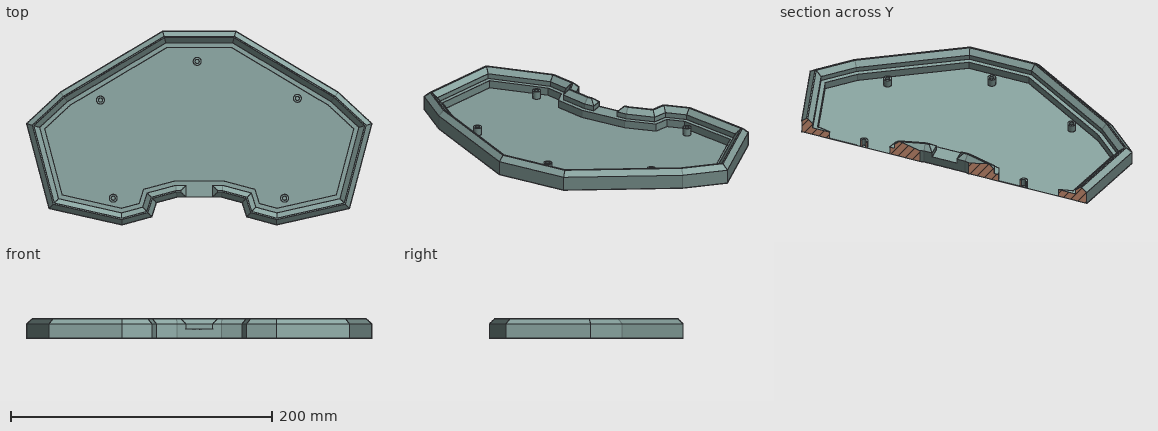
import cadquery as cq

width = 264.5
depth = 148.5
height = 15.0

rim_bevel = 4.0
rim_flat = 1.0
wall_thickness = 2 * rim_bevel + rim_flat
ledge_width = 3.5
floor_thickness = 1.0
ledge_height = 7.1
bevel_start = height - rim_bevel

slot_width = 20.5

post_diameter = 6.0
post_hole_diameter = 3.2
post_centers = [
    (-1.5, 51.0),
    (-75.7, 21.5),
    (75.1, 22.8),
    (-66.0, -53.7),
    (65.4, -53.7),
]

notch_edge_y = -53.0
right_half = [
    (28.0, depth / 2),
    (106.5, 27.5),
    (width / 2, 3.5),
    (115.0, -61.7),
    (59.3, -depth / 2),
    (36.3, -68.0),
    (32.8, -57.2),
    (17.0, notch_edge_y),
]
left_half = [(-x, y) for x, y in reversed(right_half)]


def outline(inset, base):
    """Return the mirrored outline, moved inward by inset, on the plane z = base."""
    sketch = cq.Workplane("XY", origin=(0, 0, base)).polyline(right_half + left_half).close()
    if inset > 0:
        sketch = sketch.offset2D(-inset, "intersection")
    return sketch


def make_tray_base():
    """Tray below the ledge, with the deep pocket inside the ledge."""
    pocket = outline(wall_thickness + ledge_width, floor_thickness).extrude(height)
    return outline(0, 0).extrude(ledge_height).cut(pocket)


def make_wall():
    """Perimeter wall above the ledge, bevelled on both sides of its rim."""
    opening = outline(wall_thickness, ledge_height).extrude(height)
    ring = outline(0, ledge_height).extrude(height - ledge_height).cut(opening)
    return ring.faces(">Z").chamfer(rim_bevel)


def make_slot():
    """Cutter for the front slot: upright sides that flare at 45 degrees beside the rim bevels."""
    half = slot_width / 2
    flare = half + rim_bevel
    slot_length = wall_thickness + ledge_width
    profile = [
        (-half, ledge_height),
        (half, ledge_height),
        (half, bevel_start),
        (flare, height),
        (-flare, height),
        (-half, bevel_start),
    ]
    start = cq.Workplane("XZ", origin=(0, notch_edge_y, 0))
    return start.polyline(profile).close().extrude(-slot_length)


def make_posts():
    """Tubular standoffs that rise from the floor to the ledge height."""
    base = cq.Workplane("XY", origin=(0, 0, floor_thickness)).pushPoints(post_centers)
    tubes = base.circle(post_diameter / 2).circle(post_hole_diameter / 2)
    return tubes.extrude(ledge_height - floor_thickness)


result = make_tray_base().union(make_wall()).cut(make_slot()).union(make_posts())